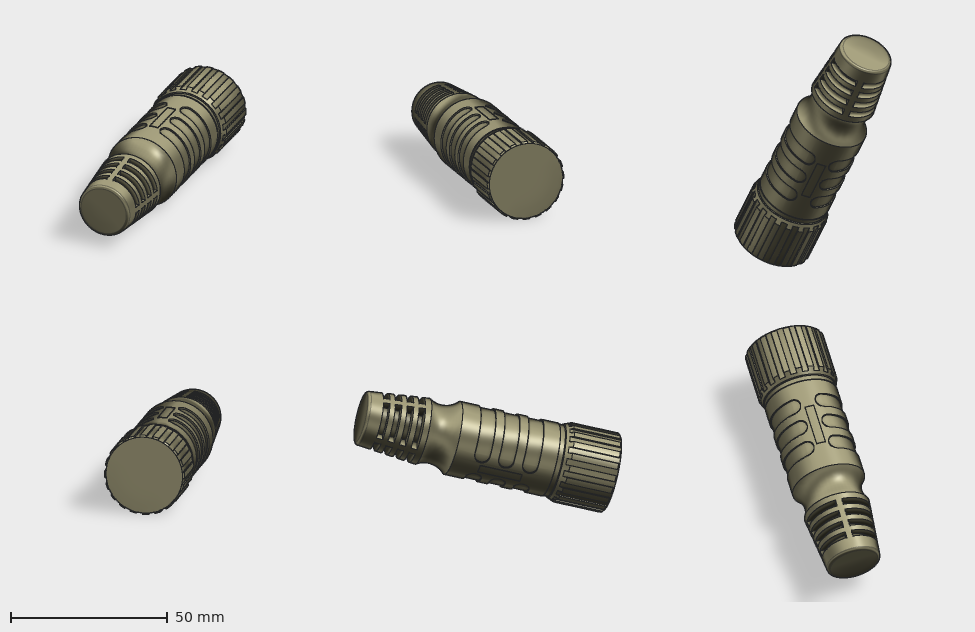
import cadquery as cq

LENGTH = 83.1

COLLAR_DIAMETER = 26.0
COLLAR_RADIUS = COLLAR_DIAMETER / 2
RIB_HEIGHT = 0.54
RIB_COUNT = 20
RIB_GAP_WIDTH = 2.0
RIB_TURN = 1.6
COLLAR_FRONT_Y = 64.6
COLLAR_FRONT_RADIUS = 12.05
COLLAR_FRONT_BEVEL = 0.25
COLLAR_ROUND_START_Y = 67.2
COLLAR_ROUND_MID_Y = 65.9
RIB_ROOT_RADIUS = COLLAR_RADIUS - RIB_HEIGHT

NECK_RADIUS = 11.7

BODY_RADIUS = 12.0
BODY_BACK_Y = 62.9
BODY_FRONT_Y = 30.3

RECESS_COUNT = 3
RECESS_WIDTH = 5.0
RECESS_PITCH = 8.0
RECESS_DEPTH = 0.5
RECESS_MIDDLE_Y = 46.95
RECESS_TIP_X = 2.5

PANEL_WIDTH = 2.9
PANEL_LENGTH = 14.0
PANEL_CENTER_Y = 46.3
PANEL_DEPTH = 0.2

WAIST_RADIUS = 9.55
WAIST_Y = 24.7
CONE_BACK_Y = 20.4
CONE_BACK_RADIUS = 10.8
CONE_END_RADIUS = 8.7
END_FILLET = 0.9

VENT_COUNT = 4
VENT_WIDTH = 2.1
VENT_PITCH = 3.8
VENT_FIRST_Y = 4.8
VENT_FLOOR_RADIUS = 7.15
VENT_WEB = 2.1


def cylinder(radius, y_start, y_end):
    """Cylinder on the Y axis from y_start to y_end."""
    disc = cq.Workplane("XZ", origin=(0, y_start, 0)).circle(radius)
    return disc.extrude(y_start - y_end)


def turned_blank():
    """Revolve the half outline, given as (radius, y)."""
    outline = (
        cq.Workplane("XY")
        .moveTo(0, 0)
        .lineTo(CONE_END_RADIUS, 0)
        .lineTo(CONE_BACK_RADIUS, CONE_BACK_Y)
        .threePointArc((WAIST_RADIUS, WAIST_Y), (BODY_RADIUS, BODY_FRONT_Y))
        .lineTo(BODY_RADIUS, BODY_BACK_Y)
        .lineTo(NECK_RADIUS, BODY_BACK_Y)
        .lineTo(NECK_RADIUS, COLLAR_FRONT_Y)
        .lineTo(COLLAR_FRONT_RADIUS, COLLAR_FRONT_Y + COLLAR_FRONT_BEVEL)
        .threePointArc((RIB_ROOT_RADIUS, COLLAR_ROUND_MID_Y), (COLLAR_RADIUS, COLLAR_ROUND_START_Y))
        .lineTo(COLLAR_RADIUS, LENGTH - RIB_HEIGHT)
        .lineTo(RIB_ROOT_RADIUS, LENGTH)
        .lineTo(0, LENGTH)
        .close()
    )
    blank = outline.revolve(360, (0, 0, 0), (0, 1, 0))
    return blank.faces("<Y").edges().fillet(END_FILLET)


def rib_gaps():
    """Lengthwise gaps that leave the collar ribs standing on the root cylinder."""
    length = LENGTH - COLLAR_FRONT_Y
    middle_y = (LENGTH + COLLAR_FRONT_Y) / 2
    pitch = 360 / RIB_COUNT
    bar = cq.Workplane("XY").box(RIB_GAP_WIDTH, length, 2 * RIB_HEIGHT)
    bar = bar.translate((0, middle_y, RIB_ROOT_RADIUS + RIB_HEIGHT / 2))
    gaps = cq.Workplane("XY")
    for index in range(RIB_COUNT):
        angle = RIB_TURN + (index + 0.5) * pitch
        gaps = gaps.add(bar.rotate((0, 0, 0), (0, 1, 0), angle))
    root = cylinder(RIB_ROOT_RADIUS, COLLAR_FRONT_Y, LENGTH)
    return gaps.combine().cut(root)


def body_skin(depth):
    """Tube that covers the outermost layer of the body to the given depth."""
    outside = cylinder(BODY_RADIUS + depth, BODY_FRONT_Y, BODY_BACK_Y)
    return outside.cut(cylinder(BODY_RADIUS - depth, BODY_FRONT_Y, BODY_BACK_Y))


def grip_recesses():
    """Shallow round-ended bands on both sides of the body."""
    reach = 2 * BODY_RADIUS
    ends = cq.Workplane("XY")
    for index in range(RECESS_COUNT):
        y = RECESS_MIDDLE_Y + (index - (RECESS_COUNT - 1) / 2) * RECESS_PITCH
        for side in (-1, 1):
            x = side * (RECESS_TIP_X + reach / 2)
            slot = cq.Workplane("XY").center(x, y).slot2D(reach, RECESS_WIDTH)
            ends = ends.add(slot.extrude(BODY_RADIUS, both=True))
    return body_skin(RECESS_DEPTH).intersect(ends.combine())


def label_panels():
    """Rectangular panels sunk into the body, with floors that follow its curve."""
    bar = cq.Workplane("XY").box(PANEL_WIDTH, PANEL_LENGTH, 3 * BODY_RADIUS)
    return body_skin(PANEL_DEPTH).intersect(bar.translate((0, PANEL_CENTER_Y, 0)))


def vent_slots():
    """Ring slots interrupted by a cross of webs along X and Z."""
    size = 2 * CONE_BACK_RADIUS
    rings = cq.Workplane("XY")
    for index in range(VENT_COUNT):
        y = VENT_FIRST_Y + index * VENT_PITCH
        ring = cylinder(CONE_BACK_RADIUS, y, y + VENT_WIDTH)
        rings = rings.add(ring.cut(cylinder(VENT_FLOOR_RADIUS, y, y + VENT_WIDTH)))
    upright_web = cq.Workplane("XY").box(VENT_WEB, 2 * CONE_BACK_Y, size)
    level_web = cq.Workplane("XY").box(size, 2 * CONE_BACK_Y, VENT_WEB)
    return rings.combine().cut(upright_web).cut(level_web)


result = (
    turned_blank()
    .cut(rib_gaps())
    .cut(grip_recesses())
    .cut(label_panels())
    .cut(vent_slots())
)